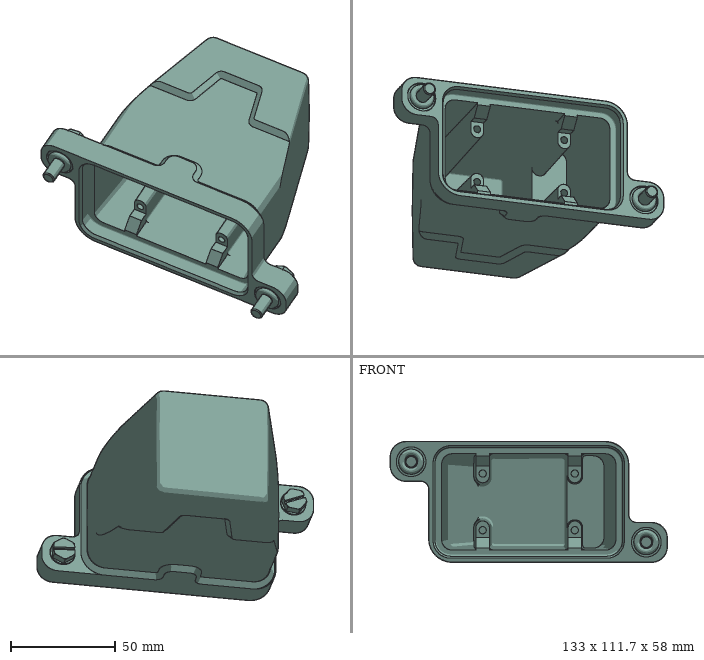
import cadquery as cq
import math

flange_length = 96.0
flange_height = 58.0
flange_thickness = 12.1
flange_draft = 1.0
overall_length = 133.0
ear_height = 19.2
ear_corner_radius = 7.6
ear_inner_radius = 3.7

hull_half_width = 44.8
step_height = 2.5
hood_half_height = flange_height / 2
hull_half_height = hood_half_height - step_height
hull_corner_radius = 8.8
flange_corner_radius = hull_corner_radius + step_height
hull_top = 100.0
slant_start = 35.1
slant_run_per_rise = 0.277
draft_angle = 0.8
hood_end_radius = 5.6
hood_side_radius = 4.3

step_y = 57.5
notch_top_y = 77.3
notch_top_half_width = 9.8
notch_bottom_half_width = 15.2
notch_top_radius = 0.8
notch_bottom_radius = 4.0

pad_half_width = 10.4
pad_top_y = 24.7
pad_corner_radius = 6.6
pad_flare_radius = 1.26
pad_root_half_width = 16.0
pad_root_y = 6.6

mouth_half_width = 45.9
mouth_half_height = 27.0
mouth_corner_radius = 8.5
mouth_chamfer = 0.9
mouth_chamfer_depth = 1.6
ledge_depth = 7.8
ledge_fillet = 0.9
cavity_half_width = 42.4
cavity_kink_half_width = 38.6
cavity_floor_half_width = 24.7
cavity_half_height = 23.3
cavity_floor_half_height = 21.3
cavity_kink_y = 45.2
cavity_floor_y = 95.8
cavity_corner_radius = 5.0
shelf_y = 54.5
cavity_floor_fillet = 1.0

post_x = 22.1
post_z = 13.5
post_width = 6.4
post_tip_z = 9.2
post_face_y = 17.8
post_root_z = 24.6
post_draft = 0.9
post_root_fillet = 1.3
post_hole_radius = 1.7
post_hole_depth = 13.3
post_bury = 1.3
ramp_inner_z = 17.2
ramp_outer_z = 22.1
ramp_top_y = 13.0

screw_x = 56.4
screw_z = 19.3
shank_radius = 3.0
shank_tip_y = -11.7
shank_tip_chamfer = 0.5
washer_radius = 6.1
washer_thickness = 0.8
head_corner_radius = 5.92
head_height = 4.3
head_chamfer = 0.4
slot_width = 1.3
slot_depth = 1.6
slot_angle = 30.0
collar_tube_radius = 1.53
collar_ring_radius = 4.5
collar_y = -0.3
counterbore_radius = 7.12
counterbore_depth = collar_y + collar_tube_radius
screw_turns = ((-1, 7.0), (1, 26.0))


def along_y(start_y):
    """Workplane facing +Y at start_y; local x is X, local y is -Z."""
    return cq.Workplane("XZ", origin=(0, start_y, 0)).transformed(rotate=(180, 0, 0))


def rounded_block(start_y, length, half_width, half_height, radius, taper=0.0):
    """Round-cornered rectangle extruded along +Y, narrowing by the taper angle."""
    outline = cq.Sketch().rect(2 * half_width, 2 * half_height).vertices().fillet(radius)
    return along_y(start_y).placeSketch(outline).extrude(length, taper=taper)


def box(x0, x1, y0, y1, z0, z1):
    block = cq.Workplane("XY").box(x1 - x0, y1 - y0, z1 - z0, centered=False)
    return block.translate((x0, y0, z0))


def both_sides(upper):
    """A feature on the +Z side together with its mirror image on the -Z side."""
    return upper.union(upper.mirror("XY"))


def half_turn(body):
    """The part's ears repeat by half a turn about the Y axis."""
    return body.rotate((0, 0, 0), (0, 1, 0), 180)


def make_flange():
    """Drafted flange plate with an ear at two opposite corners."""
    half_length = flange_length / 2
    half_height = flange_height / 2
    main = box(-half_length, half_length, 0, flange_thickness, -half_height, half_height)
    ear_bottom = half_height - ear_height
    ear = box(-overall_length / 2, 0, 0, flange_thickness, ear_bottom, half_height)
    flange = main.union(ear).union(half_turn(ear))

    def round_edges(body, x, z, radius):
        for side in (-1, 1):
            picker = cq.selectors.NearestToPointSelector((side * x, flange_thickness / 2, side * z))
            body = body.edges("|Y").edges(picker).fillet(radius)
        return body

    flange = round_edges(flange, half_length, half_height, flange_corner_radius)
    flange = round_edges(flange, overall_length / 2, -half_height, ear_corner_radius)
    flange = round_edges(flange, overall_length / 2, -ear_bottom, ear_corner_radius)
    flange = round_edges(flange, half_length, -ear_bottom, ear_inner_radius)
    outline = flange.faces(">Y").wires().toPending().workplane()
    return outline.extrude(-flange_thickness, taper=flange_draft)


def make_leaning_half():
    """Upper half of the leaning side outline, drafted from the parting plane Z = 0, edges rounded."""
    top_half_width = hull_half_width - slant_run_per_rise * (hull_top - slant_start)
    outline = [
        (-hull_half_width, 0),
        (-hull_half_width, slant_start),
        (-top_half_width, hull_top),
        (top_half_width, hull_top),
        (hull_half_width, slant_start),
        (hull_half_width, 0),
    ]
    half = cq.Workplane("XY").polyline(outline).close().extrude(hood_half_height, taper=draft_angle)
    half = half.faces(">Z").edges(">Y").fillet(hood_end_radius)
    for side in (-1, 1):
        corner_point = (side * top_half_width, hull_top, hood_half_height / 2)
        corner = cq.selectors.NearestToPointSelector(corner_point)
        half = half.edges(corner).fillet(hood_side_radius)
    return half


def make_step_cutter():
    """Space in front of the hood step: its wall leans back at 45 degrees, with a notch in the middle."""
    reach = overall_length
    outline = [
        (-reach, -reach),
        (-reach, step_y),
        (-notch_bottom_half_width, step_y),
        (-notch_top_half_width, notch_top_y),
        (notch_top_half_width, notch_top_y),
        (notch_bottom_half_width, step_y),
        (reach, step_y),
        (reach, -reach),
    ]
    tops = cq.selectors.BoxSelector((-reach, notch_top_y - 1.3, -1.3), (reach, notch_top_y + 1.3, 1.3))
    bottoms = cq.selectors.BoxSelector((-reach / 2, step_y - 1.3, -1.3), (reach / 2, step_y + 1.3, 1.3))
    profile = cq.Sketch().polygon(outline + outline[:1])
    profile = profile.vertices(tops).fillet(notch_top_radius).reset()
    profile = profile.vertices(bottoms).fillet(notch_bottom_radius)
    level = cq.Workplane("XY", origin=(0, 0, hull_half_height))
    return level.placeSketch(profile).extrude(step_height, taper=-45)


def make_hood(leaning_half):
    """Upper part of the hull, ending in the chamfered step."""
    below_step = box(-overall_length, overall_length, -1.3, step_y, -1.3, flange_height)
    return both_sides(leaning_half.cut(below_step).cut(make_step_cutter()))


def make_hull(leaning_half):
    """Lower tube with drafted side walls and rounded corners, trimmed by the leaning walls."""
    block = cq.Workplane("XY").center(0, notch_top_y / 2).rect(2 * hull_half_width, notch_top_y)
    half_tube = block.extrude(hull_half_height, taper=draft_angle)
    half_tube = half_tube.faces(">Z").edges("|Y").fillet(hull_corner_radius)
    above_step = box(-overall_length, overall_length, step_y, overall_length, -1.3, flange_height)
    half_tube = half_tube.cut(above_step)
    return both_sides(half_tube.intersect(leaning_half))


def make_skirt():
    """Chamfered foot between the hull and the flange."""
    return rounded_block(
        flange_thickness,
        step_height,
        hull_half_width + step_height,
        hull_half_height + step_height,
        hull_corner_radius + step_height,
        taper=45,
    )


def make_pad():
    """Latch pad level with the flange, with 45 degree flanks that flare out into the skirt."""
    flare_y = flange_thickness + step_height
    flare_x = pad_half_width + pad_flare_radius
    shoulder_y = pad_top_y - pad_corner_radius
    shoulder_x = pad_half_width - pad_corner_radius
    diagonal = math.sqrt(0.5)
    outline = (
        cq.Workplane("XY")
        .workplane(offset=hull_half_height)
        .moveTo(-pad_root_half_width, pad_root_y)
        .lineTo(-pad_root_half_width, flare_y)
        .lineTo(-flare_x, flare_y)
        .threePointArc(
            (-flare_x + diagonal * pad_flare_radius, flare_y + (1 - diagonal) * pad_flare_radius),
            (-pad_half_width, flare_y + pad_flare_radius),
        )
        .lineTo(-pad_half_width, shoulder_y)
        .threePointArc(
            (-shoulder_x - diagonal * pad_corner_radius, shoulder_y + diagonal * pad_corner_radius),
            (-shoulder_x, pad_top_y),
        )
        .lineTo(shoulder_x, pad_top_y)
        .threePointArc(
            (shoulder_x + diagonal * pad_corner_radius, shoulder_y + diagonal * pad_corner_radius),
            (pad_half_width, shoulder_y),
        )
        .lineTo(pad_half_width, flare_y + pad_flare_radius)
        .threePointArc(
            (flare_x - diagonal * pad_flare_radius, flare_y + (1 - diagonal) * pad_flare_radius),
            (flare_x, flare_y),
        )
        .lineTo(pad_root_half_width, flare_y)
        .lineTo(pad_root_half_width, pad_root_y)
        .close()
    )
    return both_sides(outline.extrude(step_height, taper=45))


def make_mouth():
    """Stepped recess around the opening, down to the ledge."""
    chamfer = rounded_block(
        0,
        mouth_chamfer_depth,
        mouth_half_width,
        mouth_half_height,
        mouth_corner_radius,
        taper=math.degrees(math.atan2(mouth_chamfer, mouth_chamfer_depth)),
    )
    well = rounded_block(
        0,
        ledge_depth,
        mouth_half_width - mouth_chamfer,
        mouth_half_height - mouth_chamfer,
        mouth_corner_radius - mouth_chamfer,
    )
    return chamfer.union(well.faces(">Y").edges().fillet(ledge_fillet))


def along_long_walls(x0, x1):
    """Selects the cavity's lengthwise edges at the long walls between two X positions."""
    y0 = post_face_y
    y1 = cavity_floor_y - 1.3
    z0 = cavity_floor_half_height - 1.3
    z1 = cavity_half_height + 1.3
    upper = cq.selectors.BoxSelector((x0, y0, z0), (x1, y1, z1))
    lower = cq.selectors.BoxSelector((x0, y0, -z1), (x1, y1, -z0))
    return upper + lower


def shelf_wall_x(y):
    """The wall below the shelf carries on the inner faces of the +X posts, at the same draft."""
    return post_x - post_width / 2 - math.tan(math.radians(post_draft)) * (y - post_face_y)


def make_cavity():
    """Inner space: long walls drafted, side walls leaning in, with a shelf on the +X side."""
    lean = (cavity_kink_half_width - cavity_floor_half_width) / (cavity_floor_y - cavity_kink_y)
    shelf_half_width = cavity_kink_half_width - lean * (shelf_y - cavity_kink_y)
    side_outline = [
        (-cavity_half_width, 0),
        (-cavity_kink_half_width, cavity_kink_y),
        (-cavity_floor_half_width, cavity_floor_y),
        (shelf_wall_x(cavity_floor_y), cavity_floor_y),
        (shelf_wall_x(shelf_y), shelf_y),
        (shelf_half_width, shelf_y),
        (cavity_kink_half_width, cavity_kink_y),
        (cavity_half_width, 0),
    ]
    end_outline = [
        (0, -cavity_half_height),
        (0, cavity_half_height),
        (cavity_floor_y, cavity_floor_half_height),
        (cavity_floor_y, -cavity_floor_half_height),
    ]
    cavity = cq.Workplane("XY").polyline(side_outline).close().extrude(flange_height, both=True)
    long_walls = cq.Workplane("YZ").polyline(end_outline).close().extrude(overall_length, both=True)
    cavity = cavity.intersect(long_walls)
    beyond_posts = post_x + post_width
    left_corners = along_long_walls(-overall_length, -beyond_posts)
    right_corners = along_long_walls(beyond_posts, overall_length)
    return cavity.edges(left_corners + right_corners).fillet(cavity_corner_radius)


def make_posts():
    """Four screw posts: drafted ribs, the ramps in front of them, and their screw holes."""
    ribs = []
    ramps = []
    holes = []
    tip_z = post_tip_z + post_width / 2
    for side in (-1, 1):
        floor_y = cavity_floor_y if side < 0 else shelf_y
        outline = (
            along_y(post_face_y)
            .moveTo(side * post_x - post_width / 2, -post_root_z)
            .lineTo(side * post_x - post_width / 2, -tip_z)
            .threePointArc((side * post_x, -post_tip_z), (side * post_x + post_width / 2, -tip_z))
            .lineTo(side * post_x + post_width / 2, -post_root_z)
            .close()
        )
        rib = outline.extrude(floor_y + post_bury - post_face_y, taper=-post_draft)
        ramp = (
            cq.Workplane("YZ", origin=(side * post_x, 0, 0))
            .polyline([
                (ledge_depth, post_root_z),
                (ledge_depth, ramp_outer_z),
                (ramp_top_y, ramp_inner_z),
                (post_face_y, ramp_inner_z),
                (post_face_y, post_root_z),
            ])
            .close()
            .extrude(post_width / 2, both=True)
        )
        hole = along_y(post_face_y).center(side * post_x, -post_z).circle(post_hole_radius)
        hole = hole.extrude(post_hole_depth)
        ribs.append(both_sides(rib))
        ramps.append(both_sides(ramp))
        holes.append(both_sides(hole))
    return ribs, ramps, holes


def round_rib_roots(cavity):
    """Round the corners where the ribs meet the long walls, except on the outer faces at -X."""
    inner_face_x = post_x - post_width / 2
    outer_face_x = post_x + post_width / 2
    for face_x in (-inner_face_x, inner_face_x, outer_face_x):
        roots = along_long_walls(face_x - 1.3, face_x + 1.3)
        cavity = cavity.edges(roots).fillet(post_root_fillet)
    return cavity


def make_screw_seat():
    """Through hole with a counterbore for the screw's collar."""
    hole = along_y(0).circle(shank_radius).extrude(flange_thickness)
    return hole.union(along_y(0).circle(counterbore_radius).extrude(counterbore_depth))


def make_housing():
    leaning_half = make_leaning_half()
    housing = make_hull(leaning_half).union(make_hood(leaning_half))
    housing = housing.union(make_flange()).union(make_skirt()).union(make_pad())
    cavity = make_cavity()
    ribs, ramps, holes = make_posts()
    for rib in ribs:
        cavity = cavity.cut(rib)
    cavity = round_rib_roots(cavity).faces(">Y").edges().fillet(cavity_floor_fillet)
    for ramp in ramps:
        cavity = cavity.cut(ramp)
    housing = housing.cut(cavity).cut(make_mouth())
    for hole in holes:
        housing = housing.cut(hole)
    for side, _ in screw_turns:
        housing = housing.cut(make_screw_seat().translate((side * screw_x, 0, -side * screw_z)))
    return housing


def make_screw(turn):
    """Slotted hexagon-head screw with a ring collar; turn rotates the head about the screw axis."""
    head_y = flange_thickness + washer_thickness
    shank = along_y(shank_tip_y).circle(shank_radius).extrude(head_y - shank_tip_y)
    shank = shank.faces("<Y").chamfer(shank_tip_chamfer)
    collar = (
        cq.Workplane("XY")
        .center(collar_ring_radius, collar_y)
        .circle(collar_tube_radius)
        .revolve(360, (-collar_ring_radius, 0), (-collar_ring_radius, 1))
    )
    washer = along_y(flange_thickness).circle(washer_radius).extrude(washer_thickness)
    head = along_y(head_y).polygon(6, 2 * head_corner_radius).extrude(head_height)
    blank = along_y(head_y).circle(head_corner_radius).extrude(head_height)
    head = head.intersect(blank.faces(">Y").chamfer(head_chamfer))
    slot = along_y(head_y + head_height - slot_depth).transformed(rotate=(0, 0, slot_angle))
    head = head.cut(slot.rect(3 * head_corner_radius, slot_width).extrude(slot_depth))
    return shank.union(collar).union(washer).union(head.rotate((0, 0, 0), (0, 1, 0), -turn))


housing = make_housing()
screws = [make_screw(turn).translate((side * screw_x, 0, -side * screw_z)) for side, turn in screw_turns]
result = cq.Compound.makeCompound([housing.val(), *[screw.val() for screw in screws]])